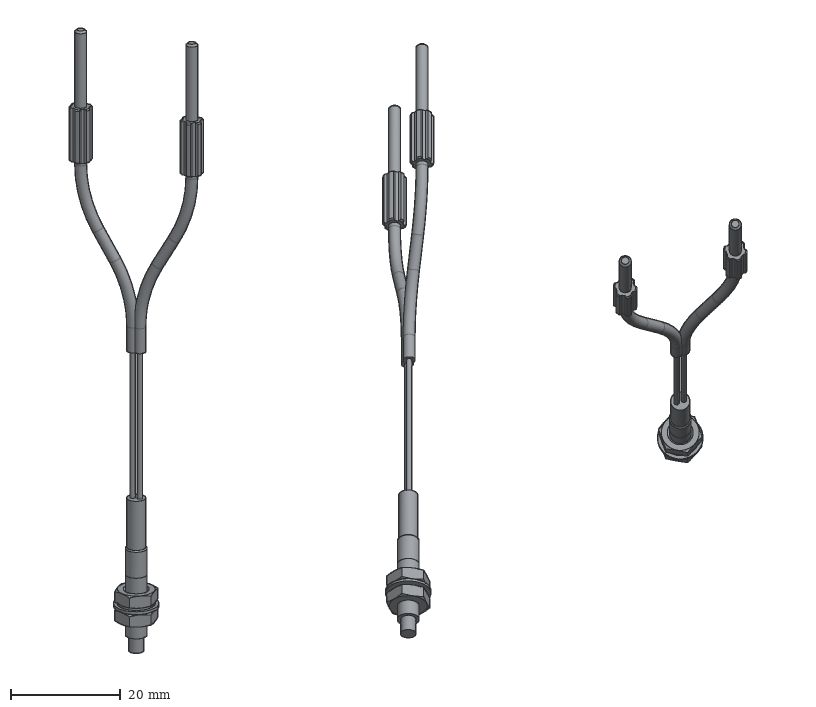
import cadquery as cq
import math


tip_dia = 2.8
tip_height = 3.1
thread_dia = 4.0
thread_top = 15.0

nut_across_flats = 7.0
nut_across_corners = nut_across_flats / math.cos(math.radians(30))
nut_face_dia = 6.9
nut_chamfer_angle = 20
nut_countersink = 0.35
nut_height = 2.4
lower_nut_base = 6.0
washer_dia = 8.28
washer_base = 8.75
washer_thickness = 0.55
spacer_dia = nut_across_flats
spacer_thickness = 0.4
spacer_base = washer_base + washer_thickness
upper_nut_base = spacer_base + spacer_thickness

collar_dia = thread_dia
collar_top = 20.35
boot_dia = 3.5
boot_top = 30.0
collar_chamfer = (collar_dia - boot_dia) / 2

fibre_dia = 1.0
leg_dia = 2.2
leg_low_x = 0.7
leg_base = 58.8
bend_start = 63.7
bend_radius = 25.0
bend_angle = 30
slant_length = 6.43
leg_top = 120.62
leg_top_chamfer = 0.4

grip_base = 95.0
grip_height = 10.6
grip_dia = 4.3
grip_chamfer = 0.25
groove_count = 6
groove_mouth = 1.58
groove_floor = 0.6
groove_floor_radius = 1.65

bend = math.radians(bend_angle)
bend_run = bend_radius * (1 - math.cos(bend))
bend_rise = bend_radius * math.sin(bend)
half_bend_run = bend_radius * (1 - math.cos(bend / 2))
half_bend_rise = bend_radius * math.sin(bend / 2)
slant_start = (leg_low_x + bend_run, bend_start + bend_rise)
slant_end = (
    slant_start[0] + slant_length * math.sin(bend),
    slant_start[1] + slant_length * math.cos(bend),
)
leg_high_x = slant_end[0] + bend_run
bend_end = slant_end[1] + bend_rise


def cylinder(diameter, bottom, top):
    return cq.Workplane("XY").workplane(offset=bottom).circle(diameter / 2).extrude(top - bottom)


def nut(base):
    """Hexagonal nut with two corners on Y, corners coned at both ends and a countersunk top."""
    top = base + nut_height
    hexagon = (
        cq.Workplane("XY").workplane(offset=base)
        .polygon(6, nut_across_corners).extrude(nut_height)
        .rotate((0, 0, 0), (0, 0, 1), 30)
    )
    cone_width = (nut_across_corners - nut_face_dia) / 2
    cone_depth = cone_width * math.tan(math.radians(nut_chamfer_angle))
    envelope = (
        cq.Workplane("XZ")
        .moveTo(0, base)
        .lineTo(nut_face_dia / 2, base)
        .lineTo(nut_across_corners / 2, base + cone_depth)
        .lineTo(nut_across_corners / 2, top - cone_depth)
        .lineTo(nut_face_dia / 2, top)
        .lineTo(0, top)
        .close()
        .revolve(360, (0, 0), (0, 1))
    )
    countersink = (
        cq.Workplane("XY").workplane(offset=top - nut_countersink)
        .circle(thread_dia / 2)
        .workplane(offset=nut_countersink)
        .circle(thread_dia / 2 + nut_countersink)
        .loft()
    )
    return hexagon.intersect(envelope).cut(countersink)


def sensing_head():
    """Tip, threaded barrel, two nuts, and the washer and narrower spacer under the upper nut."""
    return (
        nut(lower_nut_base)
        .union(nut(upper_nut_base))
        .union(cylinder(washer_dia, washer_base, spacer_base))
        .union(cylinder(spacer_dia, spacer_base, upper_nut_base))
        .union(cylinder(thread_dia, tip_height, thread_top))
        .union(cylinder(tip_dia, 0, tip_height))
    )


def ferrule():
    """Collar that butts on the thread, chamfered down to the boot."""
    return (
        cq.Workplane("XZ")
        .moveTo(0, thread_top)
        .lineTo(collar_dia / 2, thread_top)
        .lineTo(collar_dia / 2, collar_top - collar_chamfer)
        .lineTo(boot_dia / 2, collar_top)
        .lineTo(boot_dia / 2, boot_top)
        .lineTo(0, boot_top)
        .close()
        .revolve(360, (0, 0), (0, 1))
    )


def leg():
    """Round jacket swept along the right-hand S-shaped course."""
    course = (
        cq.Workplane("XZ")
        .moveTo(leg_low_x, leg_base)
        .lineTo(leg_low_x, bend_start)
        .threePointArc((leg_low_x + half_bend_run, bend_start + half_bend_rise), slant_start)
        .lineTo(*slant_end)
        .threePointArc((leg_high_x - half_bend_run, bend_end - half_bend_rise), (leg_high_x, bend_end))
        .lineTo(leg_high_x, leg_top)
    )
    jacket = (
        cq.Workplane("XY").workplane(offset=leg_base)
        .center(leg_low_x, 0).circle(leg_dia / 2).sweep(course)
    )
    return jacket.faces(">Z").edges().chamfer(leg_top_chamfer)


def grip():
    """Sleeve with tapered lengthwise grooves, the first one facing +X."""
    top = grip_base + grip_height
    sleeve = cylinder(grip_dia, grip_base, top).edges().chamfer(grip_chamfer)
    groove = (
        cq.Workplane("XY").workplane(offset=grip_base)
        .moveTo(groove_floor_radius, -groove_floor / 2)
        .lineTo(grip_dia / 2, -groove_mouth / 2)
        .lineTo(grip_dia / 2, groove_mouth / 2)
        .lineTo(groove_floor_radius, groove_floor / 2)
        .close()
        .extrude(grip_height)
    )
    for index in range(groove_count):
        sleeve = sleeve.cut(groove.rotate((0, 0, 0), (0, 0, 1), index * 360 / groove_count))
    return sleeve.translate((leg_high_x, 0, 0))


def branch():
    """One fibre, its jacketed leg and the grip on it."""
    fibre = cylinder(fibre_dia, boot_top, leg_base).translate((leg_low_x, 0, 0))
    return leg().union(fibre).union(grip())


def forked_cable():
    right_branch = branch()
    return ferrule().union(right_branch).union(right_branch.mirror("YZ"))


head = sensing_head()
cable = forked_cable()

result = cq.Compound.makeCompound([head.solids().val(), cable.solids().val()])